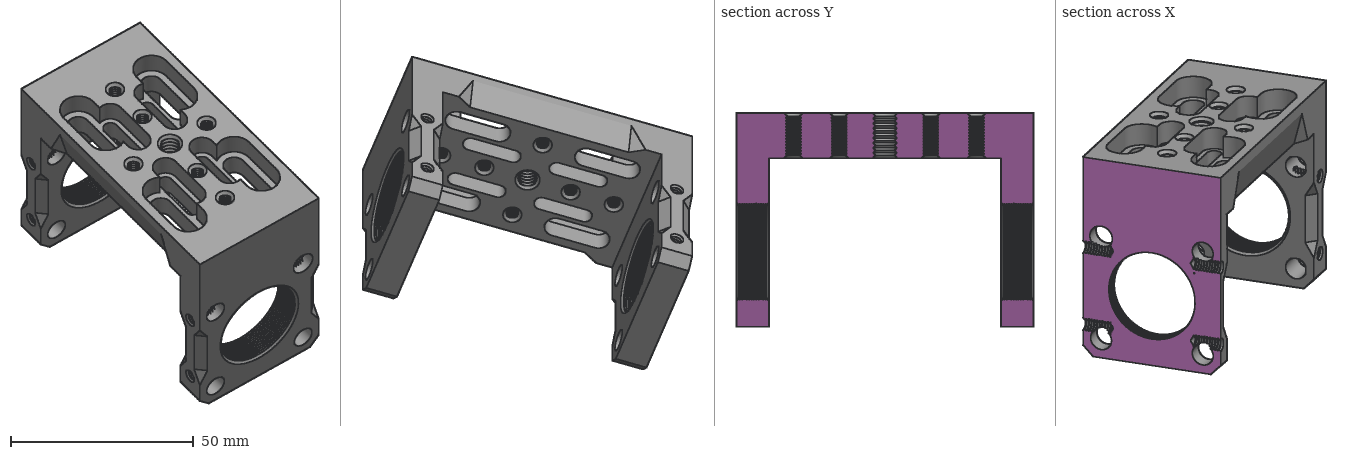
import cadquery as cq
import math

LENGTH = 81.3
WIDTH = 40.7
HEIGHT = 58.5
LEG_THICKNESS = 8.95
PLATE_THICKNESS = 12.4
FOOT_CHAMFER = 3.0

UNDERSIDE_Z = HEIGHT - PLATE_THICKNESS
LEG_CENTRE_X = (LENGTH - LEG_THICKNESS) / 2

RELIEF_TOP_GAP = 3.2
RELIEF_DEPTH = 2.35
RELIEF_INNER_LENGTH = 45.9
RELIEF_OUTER_LENGTH = 54.15

BORE_Z = 20.6
BORE_MINOR = 25.3
BORE_MAJOR = 26.3
BORE_MOUTH = 26.8
BORE_PITCH = 0.65
ROD_SPACING = 30.0
ROD_HOLE = 6.0
WIDE_ROD_HOLE = 6.5
WIDE_HOLE_CORNER = (1, 1)

SCREW_SPACING = 22.8
SCREW_MINOR = 2.6
SCREW_MAJOR = 3.5
SCREW_MOUTH = 3.7
SCREW_PITCH = 0.8
SCREW_DEPTH = 8.1
DRILL_POINT_ANGLE = 118

FLAT_SETBACK = 2.6
FLAT_HEIGHT = 13.8
FLAT_TAPER = 4.2

PITCH = 12.5
TAP_MINOR = 3.25
TAP_MAJOR = 4.15
TAP_MOUTH = 5.1
TAP_PITCH = 0.8
CENTRE_MINOR = 5.2
CENTRE_MAJOR = 6.35
CENTRE_MOUTH = 6.75
CENTRE_PITCH = 1.3
LARGE_SLOT_WIDTH = 6.0
LARGE_RECESS_WIDTH = 10.1
SMALL_SLOT_WIDTH = 4.1
SMALL_RECESS_WIDTH = 7.0
RECESS_DEPTH = 6.2


def threaded_hole(start, direction, depth, minor, major, mouth, pitch, through=True):
    """Cutter for a tapped hole with a ring groove per thread turn and 45 degree mouth chamfers.

    A blind hole has a drill point beyond its depth instead of the far chamfer.
    """
    r_minor, r_major, r_mouth = minor / 2, major / 2, mouth / 2
    chamfer = r_mouth - r_major
    thread_length = depth - 2 * chamfer if through else depth - chamfer
    turns = round(thread_length / pitch)
    turn_length = thread_length / turns
    points = [(0, 0), (r_mouth, 0), (r_major, chamfer)]
    for turn in range(turns):
        turn_start = chamfer + turn * turn_length
        points.append((r_minor, turn_start + turn_length / 2))
        points.append((r_major, turn_start + turn_length))
    if through:
        points += [(r_mouth, depth), (0, depth)]
    else:
        tip_length = r_minor / math.tan(math.radians(DRILL_POINT_ANGLE / 2))
        points += [(r_minor, depth), (0, depth + tip_length)]
    side = (0, 0, 1) if direction[2] == 0 else (1, 0, 0)
    x_axis = cq.Vector(*side)
    normal = x_axis.cross(cq.Vector(*direction))
    plane = cq.Plane(origin=start, xDir=side, normal=normal.toTuple())
    return cq.Workplane(plane).polyline(points).close().revolve(360, (0, 0), (0, 1))


def bridge_body():
    """U-shaped bridge with chamfered feet."""
    block = cq.Workplane("XY").box(LENGTH, WIDTH, HEIGHT, centered=(True, True, False))
    block = block.faces("<Z").edges("|X").chamfer(FOOT_CHAMFER)
    gap = cq.Workplane("XY").box(
        LENGTH - 2 * LEG_THICKNESS, WIDTH, UNDERSIDE_Z, centered=(True, True, False)
    )
    return block.cut(gap)


def bridge_relief():
    """Cutter for the sloped relief in the front of the bridge, tapering to its top edge."""
    y_face = -WIDTH / 2
    y_deep = y_face + RELIEF_DEPTH
    half_in, half_out = RELIEF_INNER_LENGTH / 2, RELIEF_OUTER_LENGTH / 2
    top = HEIGHT - RELIEF_TOP_GAP
    top_left = cq.Vector(-half_in, y_face, top)
    top_right = cq.Vector(half_in, y_face, top)
    front_left = cq.Vector(-half_out, y_face, UNDERSIDE_Z)
    front_right = cq.Vector(half_out, y_face, UNDERSIDE_Z)
    deep_left = cq.Vector(-half_in, y_deep, UNDERSIDE_Z)
    deep_right = cq.Vector(half_in, y_deep, UNDERSIDE_Z)
    loops = [
        (top_left, top_right, front_right, front_left),
        (top_left, deep_left, deep_right, top_right),
        (top_left, front_left, deep_left),
        (top_right, deep_right, front_right),
        (front_left, front_right, deep_right, deep_left),
    ]
    faces = [cq.Face.makeFromWires(cq.Wire.makePolygon(p, close=True)) for p in loops]
    return cq.Workplane(cq.Solid.makeSolid(cq.Shell.makeShell(faces)))


def corner_flat(x, y, inward_x, inward_y):
    """Cutter for one tapered 45 degree flat on a vertical leg corner."""
    depth = FLAT_SETBACK / math.sqrt(2)
    half_flat = FLAT_HEIGHT / 2
    half_total = half_flat + FLAT_TAPER
    plane = cq.Plane(
        origin=(x, y, BORE_Z), xDir=(inward_x, inward_y, 0), normal=(-inward_y, inward_x, 0)
    )
    profile = [(0, -half_total), (depth, -half_flat), (depth, half_flat), (0, half_total)]
    return cq.Workplane(plane).polyline(profile).close().extrude(FLAT_SETBACK, both=True)


def leg_cutters(side):
    """All cutters for the leg on the given side of X (-1 or +1)."""
    centre_x = side * LEG_CENTRE_X
    start_x = centre_x - LEG_THICKNESS / 2
    cutters = [
        threaded_hole(
            (start_x, 0, BORE_Z), (1, 0, 0), LEG_THICKNESS, BORE_MINOR, BORE_MAJOR, BORE_MOUTH, BORE_PITCH
        )
    ]
    for sy in (-1, 1):
        for sz in (-1, 1):
            diameter = WIDE_ROD_HOLE if (sy, sz) == WIDE_HOLE_CORNER else ROD_HOLE
            cutters.append(
                cq.Workplane("YZ", origin=(start_x, 0, 0))
                .center(sy * ROD_SPACING / 2, BORE_Z + sz * ROD_SPACING / 2)
                .circle(diameter / 2)
                .extrude(LEG_THICKNESS)
            )
            screw_start = (centre_x, sy * WIDTH / 2, BORE_Z + sz * SCREW_SPACING / 2)
            cutters.append(
                threaded_hole(
                    screw_start, (0, -sy, 0), SCREW_DEPTH,
                    SCREW_MINOR, SCREW_MAJOR, SCREW_MOUTH, SCREW_PITCH, through=False,
                )
            )
        for sx in (-1, 1):
            cutters.append(corner_flat(centre_x + sx * LEG_THICKNESS / 2, sy * WIDTH / 2, -sx, -sy))
    return cutters


def plate_slot(x, y, slot_width, recess_width):
    """Cutter for a through slot inside a wider recess; both share the same end centres, one pitch apart."""
    top = cq.Workplane("XY", origin=(x, y, HEIGHT))
    slot = top.slot2D(PITCH + slot_width, slot_width).extrude(-PLATE_THICKNESS)
    recess = top.slot2D(PITCH + recess_width, recess_width).extrude(-RECESS_DEPTH)
    return slot.union(recess)


def plate_cutters():
    """All cutters for the hole and slot pattern of the top plate."""
    down = (0, 0, -1)
    cutters = [
        threaded_hole(
            (0, 0, HEIGHT), down, PLATE_THICKNESS, CENTRE_MINOR, CENTRE_MAJOR, CENTRE_MOUTH, CENTRE_PITCH
        )
    ]
    tapped_steps = [(-2, 0), (-1, 0), (1, 0), (2, 0), (0, -1), (0, 1)]
    for nx, ny in tapped_steps:
        start = (nx * PITCH, ny * PITCH, HEIGHT)
        cutters.append(
            threaded_hole(start, down, PLATE_THICKNESS, TAP_MINOR, TAP_MAJOR, TAP_MOUTH, TAP_PITCH)
        )
    for sx in (-1, 1):
        for sy in (-1, 1):
            cutters.append(plate_slot(sx * 1.5 * PITCH, sy * PITCH, LARGE_SLOT_WIDTH, LARGE_RECESS_WIDTH))
            cutters.append(plate_slot(sx * PITCH, sy * PITCH / 2, SMALL_SLOT_WIDTH, SMALL_RECESS_WIDTH))
    return cutters


front_relief = bridge_relief()
cutters = [front_relief, front_relief.mirror("XZ")]
cutters += leg_cutters(-1) + leg_cutters(1) + plate_cutters()

result = bridge_body()
for cutter in cutters:
    result = result.cut(cutter)